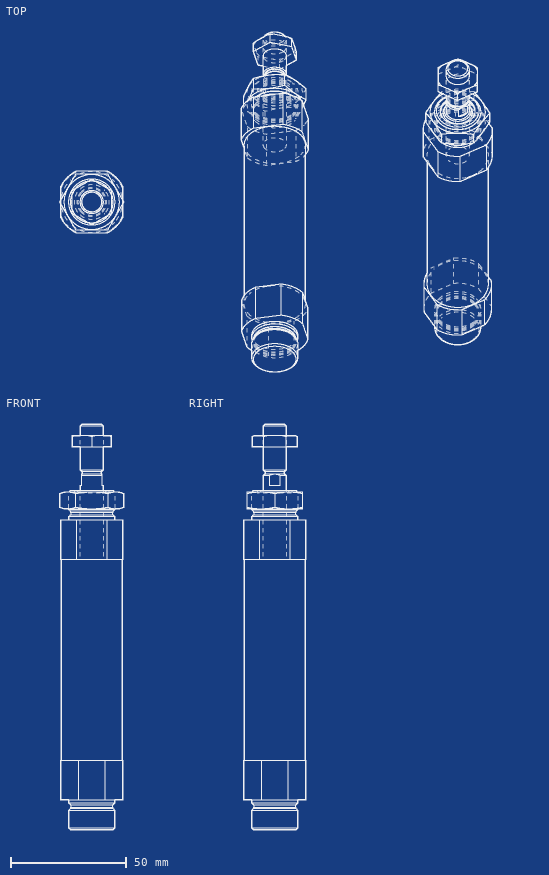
import cadquery as cq
import math

CAP_FLATS = 27.0
FRONT_CAP_CORNER_DIA = 30.0
REAR_CAP_CORNER_DIA = 29.3
CAP_LENGTH = 17.0
TUBE_DIA = 26.5
TUBE_LENGTH = 87.0
REAR_NECK_LENGTH = 13.0
FRONT_NECK_LENGTH = 12.8

NECK_DIA = 20.0
NECK_TIP_DIA = 18.5
NECK_CHAMFER = (NECK_DIA - NECK_TIP_DIA) / 2
NECK_COLLAR_LENGTH = 1.4
NECK_GROOVE_DIA = 18.0
NECK_GROOVE_WIDTH = 1.0
THREAD_LAND_LENGTH = 0.5

SEAL_GROOVE_DIA = 15.0
SEAL_GROOVE_DEPTH = 1.0
SEAL_LIP_TOP_DIA = 11.8
SEAL_LIP_BASE_DIA = 12.6

REAR_CAP_Z = REAR_NECK_LENGTH
TUBE_Z = REAR_CAP_Z + CAP_LENGTH
FRONT_CAP_Z = TUBE_Z + TUBE_LENGTH
FRONT_NECK_Z = FRONT_CAP_Z + CAP_LENGTH
FRONT_NECK_TOP = FRONT_NECK_Z + FRONT_NECK_LENGTH

ROD_DIA = 10.0
ROD_TOP = 175.4
ROD_BOTTOM = FRONT_CAP_Z
ROD_TIP_DIA = 8.6
ROD_TIP_CHAMFER = (ROD_DIA - ROD_TIP_DIA) / 2
ROD_SHOULDER_CHAMFER = 0.5
ROD_GROOVE_DIA = 8.5
ROD_GROOVE_Z = 153.8
ROD_GROOVE_WIDTH = 1.2
ROD_FLATS = 9.0
ROD_FLATS_Z = 149.0

HEX_HALF_ANGLE = 30.0
ROD_NUT_FLATS = 17.0
ROD_NUT_HEIGHT = 4.9
ROD_NUT_Z = 165.5
ROD_NUT_FACE_DIA = 18.0
ROD_NUT_CHAMFER_ANGLE = 30.0
MOUNT_NUT_FLATS = 24.0
MOUNT_NUT_HEIGHT = 7.4
MOUNT_NUT_Z = 138.7
MOUNT_NUT_FACE_DIA = 23.9
MOUNT_NUT_CHAMFER_ANGLE = 20.0


def revolve_profile(points):
    """Solid of revolution about Z from (radius, z) points."""
    return cq.Workplane("XZ").polyline(points).close().revolve(360, (0, 0), (0, 1))


def cylinder(diameter, z_bottom, z_top):
    return cq.Workplane("XY").workplane(offset=z_bottom).circle(diameter / 2).extrude(z_top - z_bottom)


def make_cap(corner_dia, z_bottom):
    """Round bar with four flats."""
    flats = (
        cq.Workplane("XY").workplane(offset=z_bottom).rect(CAP_FLATS, CAP_FLATS).extrude(CAP_LENGTH)
    )
    return flats.intersect(cylinder(corner_dia, z_bottom, z_bottom + CAP_LENGTH))


def make_neck(z_cap, length, direction):
    """Neck standing on a cap face; direction is +1 for upward and -1 for downward."""
    groove_start = NECK_COLLAR_LENGTH + NECK_CHAMFER
    groove_end = groove_start + NECK_GROOVE_WIDTH
    land_end = groove_end + THREAD_LAND_LENGTH
    outline = [
        (0, 0),
        (NECK_DIA / 2, 0),
        (NECK_DIA / 2, NECK_COLLAR_LENGTH),
        (NECK_TIP_DIA / 2, groove_start),
        (NECK_GROOVE_DIA / 2, groove_start),
        (NECK_GROOVE_DIA / 2, groove_end),
        (NECK_TIP_DIA / 2, groove_end),
        (NECK_TIP_DIA / 2, land_end),
        (NECK_DIA / 2, land_end + NECK_CHAMFER),
        (NECK_DIA / 2, length - NECK_CHAMFER),
        (NECK_TIP_DIA / 2, length),
        (0, length),
    ]
    return revolve_profile([(radius, z_cap + direction * height) for radius, height in outline])


def make_seal_groove():
    """Cutter for the ring groove around the seal lip."""
    floor = FRONT_NECK_TOP - SEAL_GROOVE_DEPTH
    return revolve_profile(
        [
            (SEAL_LIP_BASE_DIA / 2, floor),
            (SEAL_GROOVE_DIA / 2, floor),
            (SEAL_GROOVE_DIA / 2, FRONT_NECK_TOP),
            (SEAL_LIP_TOP_DIA / 2, FRONT_NECK_TOP),
        ]
    )


def make_housing():
    """Tube, caps and necks in one piece, bored for the rod."""
    housing = (
        cylinder(TUBE_DIA, TUBE_Z, FRONT_CAP_Z)
        .union(make_cap(REAR_CAP_CORNER_DIA, REAR_CAP_Z))
        .union(make_cap(FRONT_CAP_CORNER_DIA, FRONT_CAP_Z))
        .union(make_neck(REAR_CAP_Z, REAR_NECK_LENGTH, -1))
        .union(make_neck(FRONT_NECK_Z, FRONT_NECK_LENGTH, 1))
    )
    rod_bore = cylinder(ROD_DIA, ROD_BOTTOM, FRONT_NECK_TOP)
    return housing.cut(rod_bore).cut(make_seal_groove())


def make_rod():
    """Round rod with a grooved thread end and two wrench flats."""
    shoulder_radius = ROD_DIA / 2 - ROD_SHOULDER_CHAMFER
    groove_top = ROD_GROOVE_Z + ROD_GROOVE_WIDTH
    rod = revolve_profile(
        [
            (0, ROD_BOTTOM),
            (ROD_DIA / 2, ROD_BOTTOM),
            (ROD_DIA / 2, ROD_GROOVE_Z - ROD_SHOULDER_CHAMFER),
            (shoulder_radius, ROD_GROOVE_Z),
            (ROD_GROOVE_DIA / 2, ROD_GROOVE_Z),
            (ROD_GROOVE_DIA / 2, groove_top),
            (shoulder_radius, groove_top),
            (ROD_DIA / 2, groove_top + ROD_SHOULDER_CHAMFER),
            (ROD_DIA / 2, ROD_TOP - ROD_TIP_CHAMFER),
            (ROD_TIP_DIA / 2, ROD_TOP),
            (0, ROD_TOP),
        ]
    )
    flats_height = ROD_GROOVE_Z - ROD_FLATS_Z
    for side in (-1, 1):
        flat_cutter = cq.Workplane("XY").box(ROD_DIA, ROD_DIA, flats_height, centered=(True, True, False))
        rod = rod.cut(flat_cutter.translate((side * (ROD_FLATS + ROD_DIA) / 2, 0, ROD_FLATS_Z)))
    return rod


def corner_diameter(flats):
    """Distance across the corners of a hexagon."""
    return flats / math.cos(math.radians(HEX_HALF_ANGLE))


def make_hexagon(flats, height, bore_dia, z_bottom, turn):
    """Bored hexagon; at turn 0 two corners point along X."""
    return (
        cq.Workplane("XY")
        .workplane(offset=z_bottom)
        .transformed(rotate=(0, 0, turn))
        .polygon(6, corner_diameter(flats))
        .circle(bore_dia / 2)
        .extrude(height)
    )


def chamfer_cone(flats, face_dia, angle, z_face, direction):
    """Cone that trims the corners of one nut face; direction is +1 for a top face, -1 for a bottom face."""
    slope = math.tan(math.radians(angle))
    corner_radius = corner_diameter(flats) / 2
    drop = (corner_radius - face_dia / 2) * slope
    far = flats
    outline = [(0, 0), (face_dia / 2, 0), (corner_radius, drop), (corner_radius, far), (0, far)]
    return revolve_profile([(radius, z_face - direction * depth) for radius, depth in outline])


def make_rod_nut():
    """Nut with chamfered corners on its top face only."""
    nut = make_hexagon(ROD_NUT_FLATS, ROD_NUT_HEIGHT, ROD_DIA, ROD_NUT_Z, turn=HEX_HALF_ANGLE)
    z_top = ROD_NUT_Z + ROD_NUT_HEIGHT
    return nut.intersect(chamfer_cone(ROD_NUT_FLATS, ROD_NUT_FACE_DIA, ROD_NUT_CHAMFER_ANGLE, z_top, 1))


def make_mount_nut():
    """Nut with chamfered corners on both faces."""
    nut = make_hexagon(MOUNT_NUT_FLATS, MOUNT_NUT_HEIGHT, NECK_DIA, MOUNT_NUT_Z, turn=0)
    for z_face, direction in ((MOUNT_NUT_Z, -1), (MOUNT_NUT_Z + MOUNT_NUT_HEIGHT, 1)):
        nut = nut.intersect(
            chamfer_cone(MOUNT_NUT_FLATS, MOUNT_NUT_FACE_DIA, MOUNT_NUT_CHAMFER_ANGLE, z_face, direction)
        )
    return nut


housing = make_housing()
rod = make_rod()
rod_nut = make_rod_nut()
mount_nut = make_mount_nut()

result = cq.Compound.makeCompound([housing.val(), rod.val(), rod_nut.val(), mount_nut.val()])